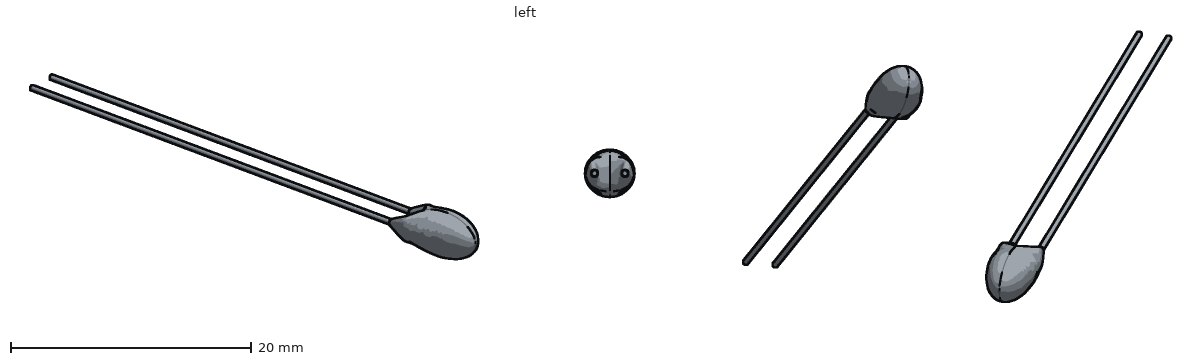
import math

import cadquery as cq

overall_length = 47.0
body_length = 8.1
body_width = 4.19
body_height = 4.0
lead_pitch = 2.54
lead_diameter = 0.5
lead_embed = 0.5
root_radius = 0.3

widest_from_tip = 4.7
tallest_from_tip = 3.1
notch_depth = 2.03
notch_softness = 0.3

section_count = 40
points_per_section = 16
tip_gap = 0.004

root_x = overall_length - body_length
widest_x = overall_length - widest_from_tip
tallest_x = overall_length - tallest_from_tip
notch_x = root_x + notch_depth
root_outer_y = lead_pitch / 2 + root_radius
root_inner_y = lead_pitch / 2 - root_radius
merge_softness = notch_softness * body_width / 2 / root_inner_y


def bulge(x, root_value, peak_value, peak_x):
    """Sine rise from the root to the peak, then a quarter ellipse to the tip."""
    if x < peak_x:
        rise = math.sin(math.pi / 2 * (x - root_x) / (peak_x - root_x))
        return root_value + (peak_value - root_value) * rise
    run = (x - peak_x) / (overall_length - peak_x)
    return peak_value * math.sqrt(1 - run**2)


def outer_edge(x):
    return bulge(x, root_outer_y, body_width / 2, widest_x)


def half_height(x):
    return bulge(x, root_radius, body_height / 2, tallest_x)


def inner_edge(x):
    """Inner edge of the +Y leg: beside the notch at first, then the far side of the bead."""
    past_notch = x - notch_x
    if past_notch < 0:
        return -root_inner_y * math.tanh(past_notch / notch_softness)
    return -outer_edge(x) * math.tanh(past_notch / merge_softness)


def section(x):
    """Closed ellipse in the YZ plane between the inner and outer edges of the +Y leg."""
    center_y = (outer_edge(x) + inner_edge(x)) / 2
    half_width = (outer_edge(x) - inner_edge(x)) / 2
    angles = [2 * math.pi * i / points_per_section for i in range(points_per_section)]
    points = [
        cq.Vector(x, center_y + half_width * math.cos(a), half_height(x) * math.sin(a))
        for a in angles
    ]
    return cq.Wire.assembleEdges([cq.Edge.makeSpline(points, periodic=True)])


def half_bead():
    """The +Y leg and its half of the bead, trimmed at the middle plane."""
    loft_length = body_length - tip_gap
    turns = [math.pi / 2 * i / (section_count - 1) for i in range(section_count)]
    sections = [section(root_x + loft_length * math.sin(t)) for t in turns]
    leg = cq.Workplane(cq.Solid.makeLoft(sections))
    keep = cq.Workplane().box(
        body_length, body_width, body_height * 2, centered=(False, False, True)
    )
    return leg.intersect(keep.translate((root_x, 0, 0)))


def lead():
    return (
        cq.Workplane("YZ")
        .center(lead_pitch / 2, 0)
        .circle(lead_diameter / 2)
        .extrude(root_x + lead_embed)
    )


half = half_bead().union(lead())
result = half.union(half.mirror("XZ"))